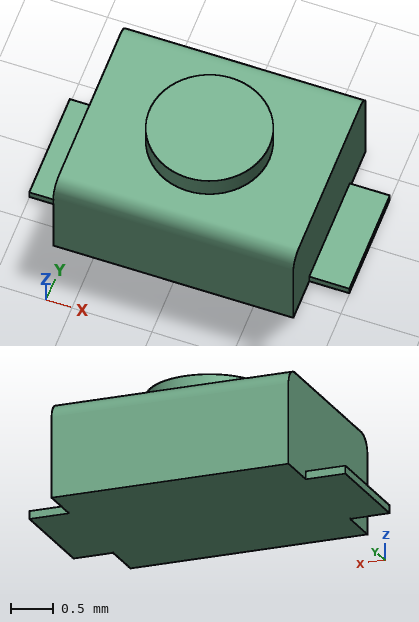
import cadquery as cq

overall_length = 4.0
overall_height = 1.5

body_length = 3.0
body_width = 2.5
body_height = 1.22
edge_radius = 0.2

button_diameter = 1.5
button_height = overall_height - body_height

terminal_width = 1.4
terminal_thickness = 0.1


def make_body():
    """Block with its two long top edges rounded."""
    block = cq.Workplane("XY").box(body_length, body_width, body_height, centered=(True, True, False))
    return block.faces(">Z").edges("|X").fillet(edge_radius)


def make_button():
    """Short cylinder standing on the housing."""
    return cq.Workplane("XY").workplane(offset=body_height).circle(button_diameter / 2).extrude(button_height)


def make_terminals():
    """One strip through the housing forms both terminals."""
    return cq.Workplane("XY").box(
        overall_length, terminal_width, terminal_thickness, centered=(True, True, False)
    )


result = make_body().union(make_button()).union(make_terminals())